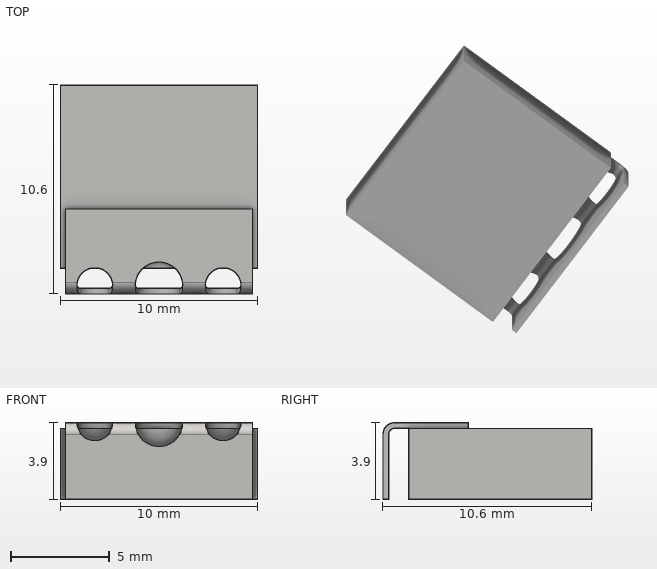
import cadquery as cq
import math

TOTAL_WIDTH = 10.0
TOTAL_DEPTH = 10.6
TOTAL_HEIGHT = 3.9

SHEET = 0.3
BEND_INNER_RADIUS = 0.3
BEND_OUTER_RADIUS = BEND_INNER_RADIUS + SHEET
SHIELD_WIDTH = 9.5
SHIELD_DEPTH = 4.32

FRONT_GAP = 1.3
BODY_DEPTH = TOTAL_DEPTH - FRONT_GAP
BODY_HEIGHT = TOTAL_HEIGHT - SHEET

CENTRE_HOLE_RADIUS = 1.2
SIDE_HOLE_RADIUS = 0.9
SIDE_HOLE_OFFSET = 3.25
HOLE_CENTRE_ARC = 0.17

BEND_Y = BEND_OUTER_RADIUS
BEND_Z = TOTAL_HEIGHT - BEND_OUTER_RADIUS
NEUTRAL_FRACTION = 0.6
BEND_LENGTH = math.pi / 2 * (BEND_INNER_RADIUS + NEUTRAL_FRACTION * SHEET)

BEND_SECTIONS = 9
MARGIN = 0.05


def make_body():
    return (
        cq.Workplane("XY")
        .box(TOTAL_WIDTH, BODY_DEPTH, BODY_HEIGHT, centered=(True, False, False))
        .translate((0, FRONT_GAP, 0))
    )


def make_shield():
    """L-shaped sheet with a vertical front leg, a rounded bend and a top leg."""
    outline = (
        cq.Workplane("YZ")
        .moveTo(0, 0)
        .lineTo(0, BEND_Z)
        .radiusArc((BEND_Y, TOTAL_HEIGHT), BEND_OUTER_RADIUS)
        .lineTo(SHIELD_DEPTH, TOTAL_HEIGHT)
        .lineTo(SHIELD_DEPTH, BODY_HEIGHT)
        .lineTo(BEND_Y, BODY_HEIGHT)
        .radiusArc((SHEET, BEND_Z), -BEND_INNER_RADIUS)
        .lineTo(SHEET, 0)
        .close()
    )
    return outline.extrude(SHIELD_WIDTH / 2, both=True)


def top_leg_cutter(x, radius):
    """Part of the hole behind the bend, in the horizontal leg."""
    disc = (
        cq.Workplane("XY", origin=(x, BEND_Y - HOLE_CENTRE_ARC, BODY_HEIGHT))
        .circle(radius)
        .extrude(SHEET + MARGIN)
    )
    keep = cq.Workplane("XY").box(
        2 * radius, 2 * radius, TOTAL_HEIGHT + SHEET, centered=(True, False, False)
    )
    return disc.intersect(keep.translate((x, BEND_Y, 0)))


def front_leg_cutter(x, radius):
    """Part of the hole below the bend, in the vertical leg."""
    centre_z = BEND_Z + BEND_LENGTH - HOLE_CENTRE_ARC
    disc = (
        cq.Workplane("XZ", origin=(x, SHEET, centre_z))
        .circle(radius)
        .extrude(SHEET + MARGIN)
    )
    keep = cq.Workplane("XY").box(2 * radius, TOTAL_DEPTH, BEND_Z, centered=(True, True, False))
    return disc.intersect(keep.translate((x, 0, 0)))


def bend_cutter(x, radius):
    """Part of the hole that wraps around the bend, with walls square to the sheet."""
    inner = BEND_INNER_RADIUS - MARGIN
    outer = BEND_OUTER_RADIUS + MARGIN
    sections = []
    for i in range(BEND_SECTIONS):
        fraction = i / (BEND_SECTIONS - 1)
        angle = fraction * math.pi / 2
        half_width = math.sqrt(radius**2 - (fraction * BEND_LENGTH - HOLE_CENTRE_ARC) ** 2)
        corners = []
        for side, reach in ((-1, inner), (1, inner), (1, outer), (-1, outer)):
            y = BEND_Y - reach * math.sin(angle)
            z = BEND_Z + reach * math.cos(angle)
            corners.append(cq.Vector(x + side * half_width, y, z))
        sections.append(cq.Wire.makePolygon(corners, close=True))
    return cq.Workplane(cq.Solid.makeLoft(sections))


holes = (
    (-SIDE_HOLE_OFFSET, SIDE_HOLE_RADIUS),
    (0, CENTRE_HOLE_RADIUS),
    (SIDE_HOLE_OFFSET, SIDE_HOLE_RADIUS),
)

shield = make_shield()
for hole_x, hole_radius in holes:
    for make_cutter in (top_leg_cutter, front_leg_cutter, bend_cutter):
        shield = shield.cut(make_cutter(hole_x, hole_radius))

result = make_body().union(shield)